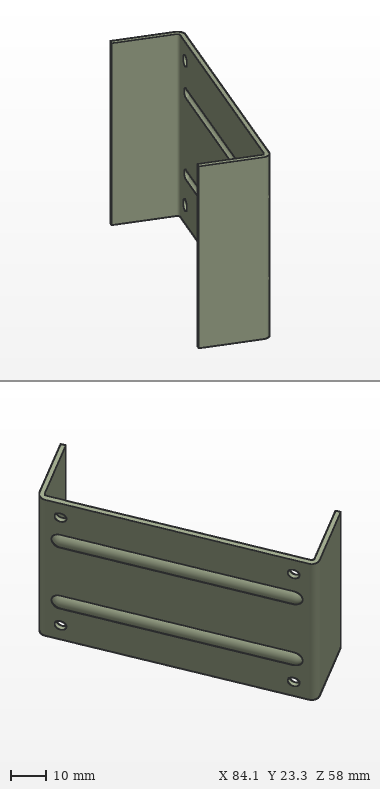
import cadquery as cq

width = 84.1
height = 58.0
sheet = 1.6
inner_bend_radius = 0.8
outer_bend_radius = inner_bend_radius + sheet

bead_height = 1.5
bead_outer_radius = sheet + bead_height
bead_inner_radius = 1.5
bead_spacing = 26.0
ridge_length = 70.05
groove_length = 68.5

hole_diameter = 3.5
hole_spacing_x = 70.0
hole_spacing_z = 46.0

overall_depth = 23.3
flange_depth = overall_depth - bead_height
web_inner_y = flange_depth - sheet


def channel():
    """Bent sheet, with the flange tips at Y = 0 and height centred on Z = 0."""
    outer = (
        cq.Workplane("XY")
        .box(width, flange_depth, height, centered=(True, False, True))
        .edges("|Z and >Y")
        .fillet(outer_bend_radius)
    )
    inner = (
        cq.Workplane("XY")
        .box(width - 2 * sheet, web_inner_y, height, centered=(True, False, True))
        .edges("|Z and >Y")
        .fillet(inner_bend_radius)
    )
    return outer.cut(inner)


def half_capsule(radius, length, z):
    """Round bar along X with ball ends, only the half beyond the web's inner face."""
    half_length = length / 2
    return (
        cq.Workplane("XZ")
        .moveTo(-half_length - radius, 0)
        .radiusArc((-half_length, radius), radius)
        .lineTo(half_length, radius)
        .radiusArc((half_length + radius, 0), radius)
        .close()
        .revolve(180, (half_length, 0), (-half_length, 0))
        .translate((0, web_inner_y, z))
    )


def add_bead(body, z):
    """Raise the ridge on the outside and press the groove into the inside."""
    ridge = half_capsule(bead_outer_radius, ridge_length, z)
    groove = half_capsule(bead_inner_radius, groove_length, z)
    return body.union(ridge).cut(groove)


def mounting_holes():
    return (
        cq.Workplane("XZ")
        .rect(hole_spacing_x, hole_spacing_z, forConstruction=True)
        .vertices()
        .circle(hole_diameter / 2)
        .extrude(-overall_depth)
    )


result = channel()
for bead_z in (-bead_spacing / 2, bead_spacing / 2):
    result = add_bead(result, bead_z)
result = result.cut(mounting_holes())